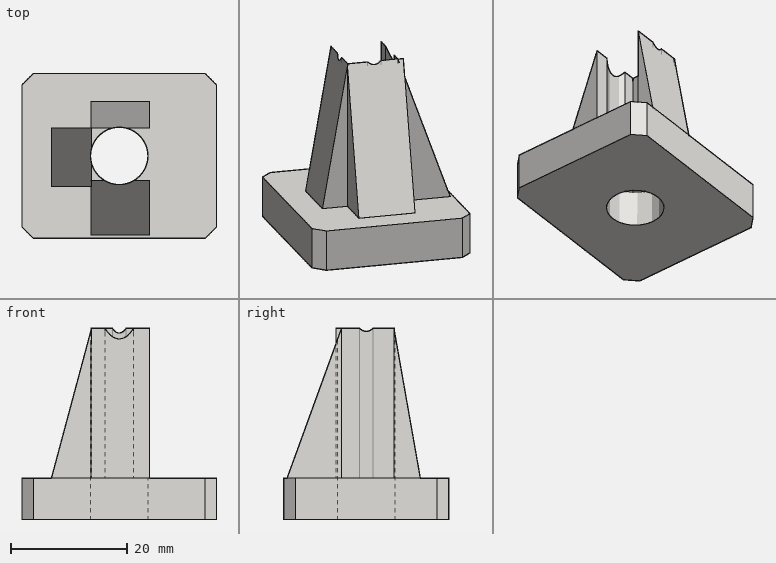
import cadquery as cq
import math

BASE_X = 33.56
BASE_Y = 28.45
BASE_HEIGHT = 7.15
CORNER_CHAMFER = 2.0

HOLE_DIAMETER = 9.85

TOTAL_HEIGHT = 33.0
WEDGE_WIDTH = 10.1
WEDGE_HEIGHT = TOTAL_HEIGHT - BASE_HEIGHT
SIDE_OFFSET = 0.2
INNER_DISTANCE = 4.78
FRONT_DISTANCE = 4.25

LEFT_ANGLE = 15.0
FRONT_ANGLE = 20.0
BACK_ANGLE = 10.0

LEFT_DIRECTION = 180.0
FRONT_DIRECTION = -90.0
BACK_DIRECTION = 90.0


def make_base():
    plate = cq.Workplane("XY").box(BASE_X, BASE_Y, BASE_HEIGHT, centered=(True, True, False))
    return plate.edges("|Z").chamfer(CORNER_CHAMFER)


def make_wedge(angle, inner_distance, side_shift, direction):
    """Wedge leaning at `angle` from vertical, built facing +X and turned to `direction`."""
    foot_distance = inner_distance + WEDGE_HEIGHT * math.tan(math.radians(angle))
    profile = (
        cq.Workplane("XZ")
        .moveTo(inner_distance, 0)
        .lineTo(foot_distance, 0)
        .lineTo(foot_distance, BASE_HEIGHT)
        .lineTo(inner_distance, TOTAL_HEIGHT)
        .close()
    )
    wedge = profile.extrude(WEDGE_WIDTH / 2, both=True).translate((0, side_shift, 0))
    return wedge.rotate((0, 0, 0), (0, 0, 1), direction)


def make_hole():
    return cq.Workplane("XY").circle(HOLE_DIAMETER / 2).extrude(TOTAL_HEIGHT)


left_wedge = make_wedge(LEFT_ANGLE, INNER_DISTANCE, SIDE_OFFSET, LEFT_DIRECTION)
front_wedge = make_wedge(FRONT_ANGLE, FRONT_DISTANCE, SIDE_OFFSET, FRONT_DIRECTION)
back_wedge = make_wedge(BACK_ANGLE, INNER_DISTANCE, -SIDE_OFFSET, BACK_DIRECTION)

result = make_base().union(left_wedge).union(front_wedge).union(back_wedge).cut(make_hole())